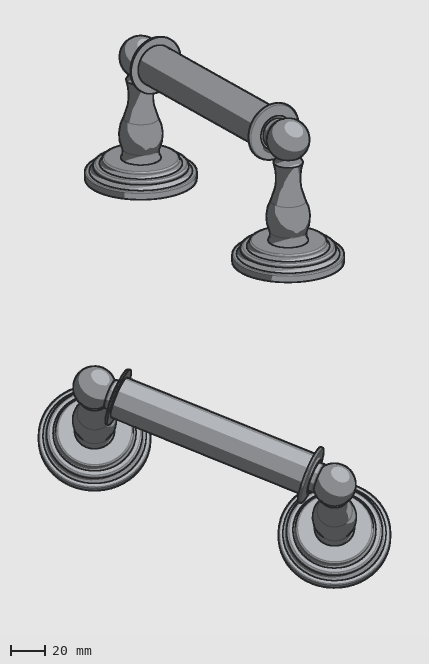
import cadquery as cq
import math

overall_length = 217.5
base_radius = 32.6
post_x = overall_length / 2 - base_radius
axis_height = 76.3

rim_height = 4.8
rim_round = 0.7
lower_step = {"foot_radius": 30.0, "wall_radius": 27.8, "cove_top": 7.5, "top": 9.5, "edge_round": 1.3}
upper_step = {"foot_radius": 24.1, "wall_radius": 22.6, "cove_top": 12.0, "top": 13.3, "edge_round": 1.0}

stem_foot_radius = 11.7
ankle_radius = 10.9
ankle_height = 19.1
bulge_radius = 12.8
bulge_height = 27.2
shoulder_radius = 10.2
shoulder_height = 38.0
waist_radius = 7.2
waist_height = 52.2
lip_radius = 8.7
lip_height = 62.2
neck_radius = 7.5

ball_diameter = 25.0
ball_radius = ball_diameter / 2
seat_radius = 8.0
ball_to_seat = math.sqrt(ball_radius**2 - seat_radius**2)
ball_to_neck = math.sqrt(ball_radius**2 - neck_radius**2)

roller_half_length = post_x - ball_to_seat
tube_diameter = 25.0
tube_radius = tube_diameter / 2
tube_half_length = 60.5
flange_radius = 17.5
flange_edge_thickness = 0.9
flange_round = 0.7
hub_radius = 10.5
hub_half_length = 63.3
collar_radius = 9.0
collar_round = collar_radius - seat_radius

quarter_sag = (math.sqrt(2) - 1) / 2
cove_sag = 0.1
flange_cove_sag = 0.06


def arc_to(profile, start, end, sag_share):
    """Continue the profile from start to end by an arc bulging left of that direction if sag_share > 0."""
    dx = end[0] - start[0]
    dy = end[1] - start[1]
    middle_x = (start[0] + end[0]) / 2 - sag_share * dy
    middle_y = (start[1] + end[1]) / 2 + sag_share * dx
    return profile.threePointArc((middle_x, middle_y), end)


def add_step(profile, floor, foot_radius, wall_radius, cove_top, top, edge_round):
    """Add a cove, a short wall and a rounded top edge to the base profile."""
    foot = (foot_radius, floor)
    wall_start = (wall_radius, cove_top)
    wall_end = (wall_radius, top - edge_round)
    edge_end = (wall_radius - edge_round, top)
    profile = arc_to(profile.lineTo(*foot), foot, wall_start, cove_sag)
    return arc_to(profile.lineTo(*wall_end), wall_end, edge_end, -quarter_sag)


def make_base():
    rim_start = (base_radius, rim_height - rim_round)
    rim_end = (base_radius - rim_round, rim_height)
    profile = cq.Workplane("XZ").lineTo(base_radius, 0).lineTo(*rim_start)
    profile = arc_to(profile, rim_start, rim_end, -quarter_sag)
    profile = add_step(profile, rim_height, **lower_step)
    profile = add_step(profile, lower_step["top"], **upper_step)
    profile = profile.lineTo(0, upper_step["top"]).close()
    return profile.revolve(360, (0, 0, 0), (0, 1, 0))


def make_stem():
    foot = (stem_foot_radius, upper_step["top"])
    ankle = (ankle_radius, ankle_height)
    lip = (lip_radius, lip_height)
    neck = (neck_radius, axis_height - ball_to_neck)
    profile = cq.Workplane("XZ").moveTo(0, foot[1]).lineTo(*foot)
    profile = arc_to(profile, foot, ankle, cove_sag)
    profile = profile.threePointArc((bulge_radius, bulge_height), (shoulder_radius, shoulder_height))
    profile = profile.threePointArc((waist_radius, waist_height), lip)
    profile = arc_to(profile, lip, neck, cove_sag)
    profile = profile.lineTo(0, neck[1]).close()
    return profile.revolve(360, (0, 0, 0), (0, 1, 0))


def make_ball():
    """Ball centred over the stem, cut flat on its +X side."""
    ball = cq.Workplane("XY").sphere(ball_radius)
    cutter = cq.Workplane("XY").box(ball_diameter, ball_diameter, ball_diameter)
    cutter = cutter.translate((ball_to_seat + ball_radius, 0, 0))
    return ball.cut(cutter).translate((0, 0, axis_height))


def make_post():
    """Base, stem and ball as one body, with the seat facing +X."""
    return make_base().union(make_stem()).union(make_ball())


def make_roller_end():
    """Flange, hub and collar at the +X end of the tube, turned about the X axis."""
    rim_start = (tube_half_length + flange_edge_thickness, flange_radius)
    rim_end = (rim_start[0] + flange_round, flange_radius - flange_round)
    hub = (hub_half_length, hub_radius)
    collar_end = (roller_half_length - collar_round, collar_radius)
    seat_edge = (roller_half_length, seat_radius)
    profile = cq.Workplane("XY").moveTo(tube_half_length, 0).lineTo(tube_half_length, flange_radius)
    profile = arc_to(profile.lineTo(*rim_start), rim_start, rim_end, quarter_sag)
    profile = arc_to(profile, rim_end, hub, -flange_cove_sag)
    profile = profile.lineTo(hub_half_length, collar_radius).lineTo(*collar_end)
    profile = arc_to(profile, collar_end, seat_edge, quarter_sag)
    profile = profile.lineTo(roller_half_length, 0).close()
    return profile.revolve(360, (0, 0, 0), (1, 0, 0))


def make_roller():
    """Tube with a turned end on each side, seated between the balls of the posts."""
    tube = cq.Workplane("YZ").circle(tube_radius).extrude(tube_half_length, both=True)
    end = make_roller_end()
    roller = tube.union(end).union(end.mirror("YZ"))
    return roller.translate((0, 0, axis_height))


left_post = make_post().translate((-post_x, 0, 0))
posts = [left_post.rotate((0, 0, 0), (0, 0, 1), turn) for turn in (0, 180)]
roller = make_roller()

result = cq.Compound.makeCompound([*[post.val() for post in posts], roller.val()])